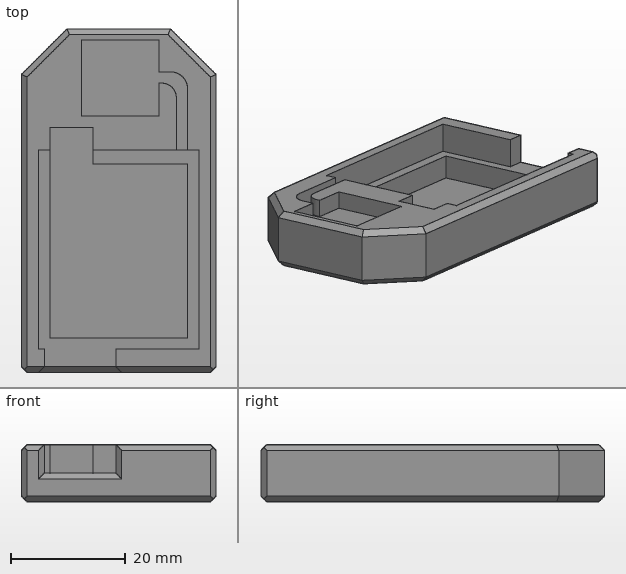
import cadquery as cq

width = 34.0
length = 60.0
height = 10.0
edge_chamfer = 1.0
corner_cut = 8.0

left = -width / 2
right = width / 2
front = -length / 2
back = length / 2

ledge_depth = 5.0
floor_depth = 9.0
shallow_depth = 3.0

ledge_margin = 3.0
ledge_front = front + 4.15
ledge_back = front + 38.8
well_left = left + 5.0
well_right = right - 5.0
well_front = front + 6.0
well_back = front + 36.4
tab_width = 7.5
tab_back = front + 42.8

notch_left = left + 4.0
notch_right = left + 16.5

square_left = left + 10.5
square_right = left + 24.0
square_front = front + 44.8
square_back = back - 2.0

channel_width = 2.0
channel_outer_radius = 3.0
channel_inner_radius = 2.5
channel_right = well_right
channel_back = front + 52.5


def recess(x_min, x_max, y_min, y_max, depth):
    """Box cutter sunk from the top face."""
    return (
        cq.Workplane("XY", origin=(x_min, y_min, height - depth))
        .box(x_max - x_min, y_max - y_min, depth, centered=False)
    )


def make_body():
    """Chamfered block with its two back corners cut off at 45 degrees."""
    block = cq.Workplane("XY").box(width, length, height, centered=(True, True, False))
    block = block.edges("|Z and >Y").chamfer(corner_cut)
    beveled = block.faces("<Z or >Z").edges().chamfer(edge_chamfer)
    corner_trimmed = block.edges("|Z and <Y").chamfer(edge_chamfer)
    return beveled.intersect(corner_trimmed)


def make_notch_flare():
    """Cutter that bevels the notch sides and floor at the front face."""
    flare_left = notch_left - edge_chamfer
    flare_right = notch_right + edge_chamfer
    flare_bottom = height - ledge_depth - edge_chamfer
    flare_height = 2 * height
    return (
        cq.Workplane("XZ", origin=(flare_left, front, flare_bottom))
        .rect(flare_right - flare_left, flare_height, centered=False)
        .extrude(-edge_chamfer, taper=45)
    )


def make_channel():
    """Cutter for the channel, turning from +X to -Y through a rounded bend."""
    inner_x = channel_right - channel_width
    inner_y = channel_back - channel_width
    return (
        cq.Workplane("XY", origin=(0, 0, height - shallow_depth))
        .moveTo(square_right, channel_back)
        .lineTo(channel_right - channel_outer_radius, channel_back)
        .radiusArc((channel_right, channel_back - channel_outer_radius), channel_outer_radius)
        .lineTo(channel_right, ledge_back)
        .lineTo(inner_x, ledge_back)
        .lineTo(inner_x, inner_y - channel_inner_radius)
        .radiusArc((inner_x - channel_inner_radius, inner_y), -channel_inner_radius)
        .lineTo(square_right, inner_y)
        .close()
        .extrude(shallow_depth)
    )


cutters = [
    recess(left + ledge_margin, right - ledge_margin, ledge_front, ledge_back, ledge_depth),
    recess(well_left, well_right, well_front, well_back, floor_depth),
    recess(well_left, well_left + tab_width, well_back, tab_back, floor_depth),
    recess(notch_left, notch_right, front, ledge_front, ledge_depth),
    make_notch_flare(),
    recess(square_left, square_right, square_front, square_back, shallow_depth),
    make_channel(),
]

result = make_body()
for cutter in cutters:
    result = result.cut(cutter)